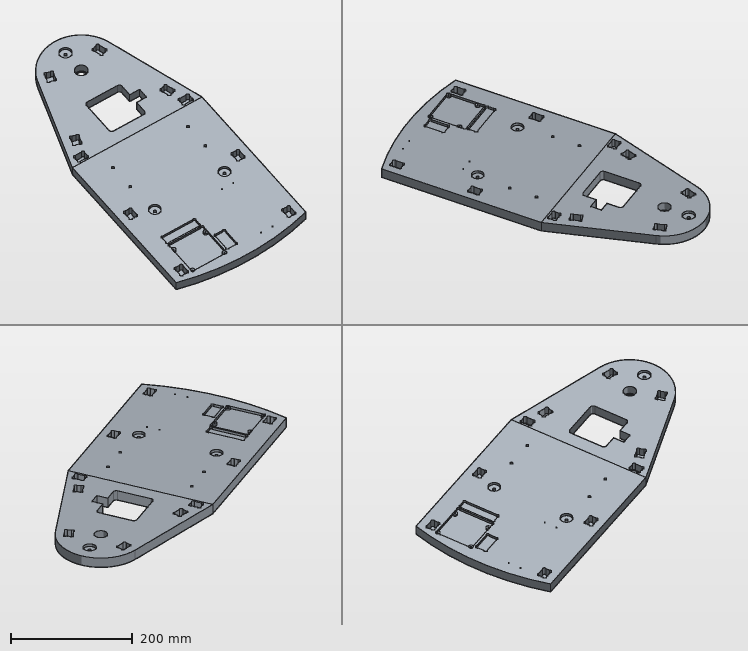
import cadquery as cq
import math

length = 550.0
width = 260.0
thickness = 18.0
half_length = length / 2
half_width = width / 2
top = thickness / 2

seam_x = -40.0
nose_radius = 75.5
tail_sag = 18.0

mortise_length = 20.0
mortise_width = 15.0
mortise_depth = 15.0
cutter_radius = 3.0
side_mortise_y = 108.0
seam_mortise_y = 105.0
seam_mortise_x = -51.0
rear_mortise_xs = (94.5, 239.5)
slanted_mortise_places = ((-218.0, 49.5), (-84.5, 92.0))

screw_diameter = 5.0
counterbore_depth = 5.0
nose_screw_x = -245.0
nose_counterbore_diameter = 22.0
rear_screw_x = 110.0
rear_screw_y = 70.0
rear_counterbore_diameter = 21.0

cable_hole_x = -200.0
cable_hole_diameter = 20.0
cable_step_diameter = 22.0
cable_step_depth = 15.5

window_x = -102.0
window_length = 75.0
window_width = 71.0
window_corner_radius = 5.5
tab_size = 20.0

mount_hole_diameter = 4.5
mount_hole_xs = (-2.0, 47.5)
mount_hole_y = 75.5
pilot_diameter = 1.5
pilot_xs = (138.0, 250.0)
pilot_ys = (45.0, 67.5)

pocket_depth = 4.5
board_x_min = 183.0
board_x_max = 252.5
board_y_min = -94.5
board_y_max = -25.5
standoff_diameter = 8.0
standoff_height = 3.5
standoff_xs = (195.5, 249.5)
standoff_ys = (-92.5, -28.0)
side_pocket_x_min = 163.0
side_pocket_x_max = 180.5
side_pocket_y_max = -27.5
upper_pocket_x_min = 210.0
upper_pocket_x_max = 247.0
upper_pocket_y_min = -21.0
upper_pocket_y_max = -0.5


def cylinder(diameter, height, places, z_max):
    """Vertical cylinders that hang down from z_max at each place."""
    return (
        cq.Workplane("XY", origin=(0, 0, z_max))
        .pushPoints(places)
        .circle(diameter / 2)
        .extrude(-height)
    )


def relieved_pocket(size_x, size_y, depth, place, angle=0.0):
    """Rectangular pocket from the top face whose corners are cleared by the cutter."""
    inset = cutter_radius / math.sqrt(2)
    box = cq.Workplane("XY").rect(size_x, size_y).extrude(-depth)
    reliefs = (
        cq.Workplane("XY")
        .rect(size_x - 2 * inset, size_y - 2 * inset, forConstruction=True)
        .vertices()
        .circle(cutter_radius)
        .extrude(-depth)
    )
    pocket = box.union(reliefs)
    return pocket.rotate((0, 0, 0), (0, 0, 1), angle).translate((place[0], place[1], top))


def pocket_between(x_min, x_max, y_min, y_max):
    """Shallow relieved pocket given by its four sides."""
    middle = ((x_min + x_max) / 2, (y_min + y_max) / 2)
    return relieved_pocket(x_max - x_min, y_max - y_min, pocket_depth, middle)


def cut_counterbores(plate, places, diameter):
    """Screw holes through the plate with a counterbore in the top face."""
    plate = plate.cut(cylinder(screw_diameter, thickness, places, top))
    return plate.cut(cylinder(diameter, counterbore_depth, places, top))


nose_centre_x = nose_radius - half_length
corner_distance = math.hypot(half_width, seam_x - nose_centre_x)
slant = math.acos(nose_radius / corner_distance) - math.atan2(seam_x - nose_centre_x, half_width)
slant_degrees = math.degrees(slant)
tangent_x = nose_centre_x - nose_radius * math.sin(slant)
tangent_y = nose_radius * math.cos(slant)


def make_nose_plate():
    """Tapered front plate with a round nose, a window and a cable hole."""
    plate = (
        cq.Workplane("XY", origin=(0, 0, -top))
        .moveTo(seam_x, -half_width)
        .lineTo(seam_x, half_width)
        .lineTo(tangent_x, tangent_y)
        .threePointArc((-half_length, 0), (tangent_x, -tangent_y))
        .close()
        .extrude(thickness)
    )

    for side in (1, -1):
        for x, y in slanted_mortise_places:
            place = (x, side * y)
            angle = side * slant_degrees
            plate = plate.cut(relieved_pocket(mortise_length, mortise_width, mortise_depth, place, angle))
        place = (seam_mortise_x, side * seam_mortise_y)
        plate = plate.cut(relieved_pocket(mortise_width, mortise_length, mortise_depth, place))

    plate = cut_counterbores(plate, [(nose_screw_x, 0)], nose_counterbore_diameter)
    plate = plate.cut(cylinder(cable_hole_diameter, thickness, [(cable_hole_x, 0)], top))
    plate = plate.cut(cylinder(cable_step_diameter, cable_step_depth, [(cable_hole_x, 0)], top))

    window = (
        cq.Workplane("XY")
        .box(window_length, window_width, thickness)
        .edges("|Z")
        .fillet(window_corner_radius)
        .translate((window_x, 0, 0))
    )
    tab = (
        cq.Workplane("XY")
        .box(tab_size, 2 * tab_size, thickness)
        .translate((window_x, window_width / 2, 0))
    )
    return plate.cut(window).cut(tab)


def make_rear_plate():
    """Rectangular rear plate with a curved tail and the circuit board pocket."""
    tail_corner_x = half_length - tail_sag
    plate = (
        cq.Workplane("XY", origin=(0, 0, -top))
        .moveTo(seam_x, half_width)
        .lineTo(seam_x, -half_width)
        .lineTo(tail_corner_x, -half_width)
        .threePointArc((half_length, 0), (tail_corner_x, half_width))
        .close()
        .extrude(thickness)
    )

    for x in rear_mortise_xs:
        for y in (side_mortise_y, -side_mortise_y):
            plate = plate.cut(relieved_pocket(mortise_length, mortise_width, mortise_depth, (x, y)))

    rear_screws = [(rear_screw_x, rear_screw_y), (rear_screw_x, -rear_screw_y)]
    plate = cut_counterbores(plate, rear_screws, rear_counterbore_diameter)
    mounts = [(x, y) for x in mount_hole_xs for y in (mount_hole_y, -mount_hole_y)]
    plate = plate.cut(cylinder(mount_hole_diameter, thickness, mounts, top))
    pilots = [(x, y) for x in pilot_xs for y in pilot_ys]
    plate = plate.cut(cylinder(pilot_diameter, thickness, pilots, top))

    standoffs = [(x, y) for x in standoff_xs for y in standoff_ys]
    standoff_top = top - pocket_depth + standoff_height
    board_pocket = pocket_between(board_x_min, board_x_max, board_y_min, board_y_max)
    board_pocket = board_pocket.cut(cylinder(standoff_diameter, standoff_height, standoffs, standoff_top))
    plate = plate.cut(board_pocket)
    plate = plate.cut(cylinder(pilot_diameter, thickness, standoffs, top))

    plate = plate.cut(pocket_between(side_pocket_x_min, side_pocket_x_max, board_y_min, side_pocket_y_max))
    return plate.cut(
        pocket_between(upper_pocket_x_min, upper_pocket_x_max, upper_pocket_y_min, upper_pocket_y_max)
    )


nose_plate = make_nose_plate()
rear_plate = make_rear_plate()

result = cq.Compound.makeCompound([nose_plate.val(), rear_plate.val()])